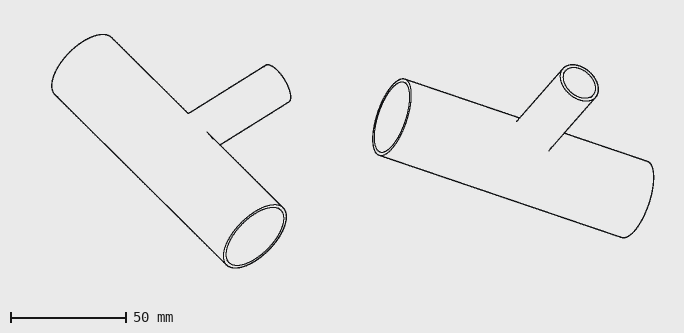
import cadquery as cq

run_length = 120.0
run_outer_diameter = 35.0
run_bore_diameter = 32.0
wall = (run_outer_diameter - run_bore_diameter) / 2

branch_reach = 60.0
branch_outer_diameter = 19.0
branch_bore_diameter = branch_outer_diameter - 2 * wall

weld_radius = 1.0


def run_cylinder(diameter):
    """Cylinder along X, centred on the origin, as long as the main pipe."""
    return cq.Workplane("YZ").circle(diameter / 2).extrude(run_length / 2, both=True)


def branch_cylinder(diameter):
    """Cylinder along +Y from the main pipe's axis to the branch's open end."""
    return cq.Workplane("XZ").circle(diameter / 2).extrude(-branch_reach)


def outer_body():
    """Solid tee with a fillet around the saddle-shaped joint."""
    tee = run_cylinder(run_outer_diameter).union(branch_cylinder(branch_outer_diameter))
    half_branch = branch_outer_diameter / 2 + weld_radius
    run_radius = run_outer_diameter / 2
    joint = cq.selectors.BoxSelector(
        (-half_branch, 0, -half_branch),
        (half_branch, run_radius + weld_radius, half_branch),
        boundingbox=True,
    )
    return tee.edges(joint).fillet(weld_radius)


result = (
    outer_body()
    .cut(run_cylinder(run_bore_diameter))
    .cut(branch_cylinder(branch_bore_diameter))
)